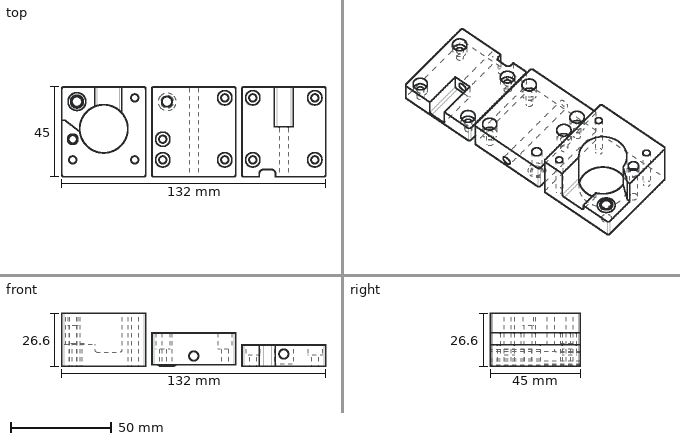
import cadquery as cq

WIDTH = 42.0
DEPTH = 45.0
GAP = 3.0
PITCH = WIDTH + GAP
CORNER_RADIUS = 1.0
CENTRE_X = WIDTH / 2
CENTRE_Y = DEPTH - WIDTH / 2
BOLT_SPACING = 31.0
SCREW_X = CENTRE_X - BOLT_SPACING / 2
FRONT_SCREW_Y = CENTRE_Y - BOLT_SPACING / 2
EXTRA_SCREW_OFFSET = 10.3
EXTRA_SCREW_Y = FRONT_SCREW_Y + EXTRA_SCREW_OFFSET
SCREW_DIAMETER = 3.6
HEAD_DIAMETER = 7.2

COLLAR_X = 7.6
COLLAR_BACK_OFFSET = 7.4
COLLAR_Y = DEPTH - COLLAR_BACK_OFFSET
COLLAR_HOLE_DIAMETER = 5.0
COLLAR_BASE_DIAMETER = 8.9
COLLAR_TIP_DIAMETER = 6.4

CHANNEL_RADIUS = 1.2

HOUSING_HEIGHT = 26.6
BORE_DIAMETER = 24.0
POCKET_FLOOR_Z = 11.2
POCKET_RIGHT_X = 30.0
POCKET_LENGTH = 16.8
POCKET_FRONT_Y = DEPTH - POCKET_LENGTH
POCKET_BEND_X = 1.7
POCKET_END_X = 10.0
POCKET_SLANT_DROP = 6.4
POCKET_END_Y = POCKET_FRONT_Y - POCKET_SLANT_DROP
HOUSING_CHANNEL_LEFT_X = 16.4
HOUSING_CHANNEL_DEPTH = 4.0
HOUSING_COLLAR_HEIGHT = 0.5
INSERT_DIAMETER = 5.2
INSERT_HOLE_DIAMETER = 4.0
INSERT_DEPTH = 6.0

MIDDLE_COLLAR_HEIGHT = 0.8
MIDDLE_BOTTOM_Z = MIDDLE_COLLAR_HEIGHT
MIDDLE_TOP_Z = 16.8
MIDDLE_HEAD_DEPTH = 8.0
MIDDLE_CROSS_HOLE_Z = 5.2
CROSS_HOLE_DIAMETER = 4.6

END_HEIGHT = 10.8
END_HEAD_DEPTH = 5.0
END_CROSS_HOLE_Z = 6.2
SLOT_WIDTH = 9.4
SLOT_LENGTH = 20.0
SLOT_FLOOR_Z = 1.3
NOTCH_LEFT_X = 8.8
NOTCH_WIDTH = 8.0
NOTCH_DEPTH = 3.6
NOTCH_RADIUS = 2.0


def block(bottom_z, top_z):
    """Plain block with its front left corner at the origin and rounded upright edges."""
    body = cq.Workplane("XY").box(WIDTH, DEPTH, top_z - bottom_z, centered=False)
    return body.edges("|Z").fillet(CORNER_RADIUS).translate((0, 0, bottom_z))


def cylinder(x, y, diameter, bottom_z, top_z):
    """Upright cylinder between two heights."""
    return cq.Workplane("XY", origin=(x, y, bottom_z)).circle(diameter / 2).extrude(top_z - bottom_z)


def collar(base_z, height):
    """Conical boss around the rod hole; a negative height makes it hang down from base_z."""
    base = cq.Workplane("XY", origin=(COLLAR_X, COLLAR_Y, base_z)).circle(COLLAR_BASE_DIAMETER / 2)
    return base.workplane(offset=height).circle(COLLAR_TIP_DIAMETER / 2).loft()


def screw_points(skip_back_left=False):
    """Corners of the square screw pattern; the collar takes the place of the back left one."""
    points = [
        (CENTRE_X + side_x * BOLT_SPACING / 2, CENTRE_Y + side_y * BOLT_SPACING / 2)
        for side_x in (-1, 1)
        for side_y in (-1, 1)
    ]
    if skip_back_left:
        points.remove((SCREW_X, FRONT_SCREW_Y + BOLT_SPACING))
    return points


def cut_head_recesses(body, points, head_depth, top_z):
    """Through screw holes with a counterbore for the head in the top face."""
    for x, y in points:
        body = body.cut(cylinder(x, y, SCREW_DIAMETER, 0, top_z))
        body = body.cut(cylinder(x, y, HEAD_DIAMETER, top_z - head_depth, top_z))
    return body


def cross_hole(z):
    """Hole along Y through the whole depth, on the centre line."""
    hole = cq.Workplane("XZ", origin=(CENTRE_X, 0, z)).circle(CROSS_HOLE_DIAMETER / 2)
    return hole.extrude(-DEPTH)


def channel(left_x, right_x, length, floor_z, top_z):
    """Cutter for a channel open at the back, with rounded floor edges."""
    cutter = cq.Workplane("XY").box(right_x - left_x, length, top_z - floor_z, centered=False)
    cutter = cutter.edges("|Y and <Z").fillet(CHANNEL_RADIUS)
    return cutter.translate((left_x, DEPTH - length, floor_z))


def make_housing():
    """Tall block with an upright bore and a pocket in its back left corner."""
    body = block(0, HOUSING_HEIGHT)
    pocket = (
        cq.Workplane("XY", origin=(0, 0, POCKET_FLOOR_Z))
        .moveTo(0, DEPTH)
        .lineTo(0, POCKET_FRONT_Y)
        .lineTo(POCKET_BEND_X, POCKET_FRONT_Y)
        .lineTo(POCKET_END_X, POCKET_END_Y)
        .lineTo(CENTRE_X, CENTRE_Y)
        .lineTo(POCKET_RIGHT_X, CENTRE_Y)
        .lineTo(POCKET_RIGHT_X, DEPTH)
        .close()
        .extrude(HOUSING_HEIGHT - POCKET_FLOOR_Z)
    )
    body = body.cut(pocket)
    body = body.cut(channel(
        HOUSING_CHANNEL_LEFT_X, POCKET_RIGHT_X, DEPTH - CENTRE_Y,
        POCKET_FLOOR_Z - HOUSING_CHANNEL_DEPTH, POCKET_FLOOR_Z,
    ))
    body = body.union(collar(POCKET_FLOOR_Z, HOUSING_COLLAR_HEIGHT))
    body = body.cut(cylinder(CENTRE_X, CENTRE_Y, BORE_DIAMETER, 0, HOUSING_HEIGHT))
    body = body.cut(cylinder(COLLAR_X, COLLAR_Y, COLLAR_HOLE_DIAMETER, 0, HOUSING_HEIGHT))
    for x, y in screw_points(skip_back_left=True):
        body = body.cut(cylinder(x, y, SCREW_DIAMETER, 0, HOUSING_HEIGHT))
    body = body.cut(cylinder(SCREW_X, EXTRA_SCREW_Y, INSERT_HOLE_DIAMETER, 0, HOUSING_HEIGHT))
    insert_bottom_z = HOUSING_HEIGHT - INSERT_DEPTH
    return body.cut(cylinder(SCREW_X, EXTRA_SCREW_Y, INSERT_DIAMETER, insert_bottom_z, HOUSING_HEIGHT))


def make_middle_plate():
    """Plate raised on the conical collar under its rod hole."""
    body = block(MIDDLE_BOTTOM_Z, MIDDLE_TOP_Z)
    body = body.union(collar(MIDDLE_BOTTOM_Z, -MIDDLE_COLLAR_HEIGHT))
    body = body.cut(cylinder(COLLAR_X, COLLAR_Y, COLLAR_HOLE_DIAMETER, 0, MIDDLE_TOP_Z))
    points = screw_points(skip_back_left=True) + [(SCREW_X, EXTRA_SCREW_Y)]
    body = cut_head_recesses(body, points, MIDDLE_HEAD_DEPTH, MIDDLE_TOP_Z)
    return body.cut(cross_hole(MIDDLE_CROSS_HOLE_Z))


def make_end_plate():
    """Low plate with a slot at the back and a notch at the front."""
    body = block(0, END_HEIGHT)
    body = cut_head_recesses(body, screw_points(), END_HEAD_DEPTH, END_HEIGHT)
    body = body.cut(channel(
        CENTRE_X - SLOT_WIDTH / 2, CENTRE_X + SLOT_WIDTH / 2, SLOT_LENGTH, SLOT_FLOOR_Z, END_HEIGHT,
    ))
    notch = cq.Workplane("XY").box(NOTCH_WIDTH, NOTCH_DEPTH, END_HEIGHT, centered=False)
    notch = notch.edges("|Z and >Y").fillet(NOTCH_RADIUS)
    body = body.cut(notch.translate((NOTCH_LEFT_X, 0, 0)))
    return body.cut(cross_hole(END_CROSS_HOLE_Z))


housing = make_housing()
middle_plate = make_middle_plate().translate((PITCH, 0, 0))
end_plate = make_end_plate().translate((2 * PITCH, 0, 0))

result = cq.Compound.makeCompound([housing.val(), middle_plate.val(), end_plate.val()])